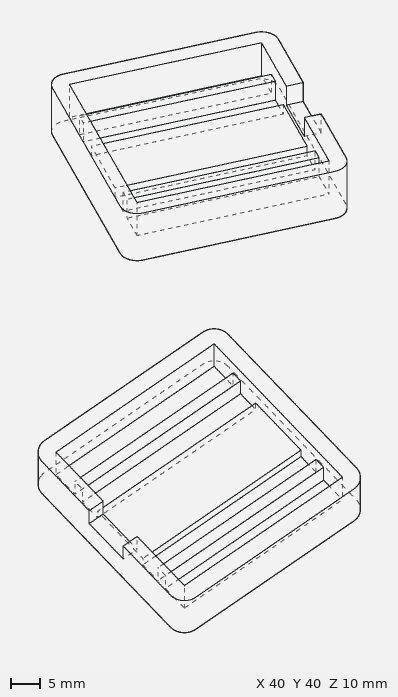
import cadquery as cq

side = 40.0
height = 10.0
wall = 3.0
corner_radius = 3.0
floor_thickness = 3.0
cavity_side = side - 2 * wall

platform_width = 12.0
platform_top = 5.0
rib_width = 2.0
rib_top = 7.0
rib_offset = 11.0

notch_width = 9.0
notch_bottom = 6.0


def tray():
    """Square tray with rounded outer corners and a sharp-cornered cavity."""
    body = cq.Workplane("XY").rect(side, side).extrude(height).edges("|Z").fillet(corner_radius)
    cavity = (
        cq.Workplane("XY")
        .workplane(offset=floor_thickness)
        .rect(cavity_side, cavity_side)
        .extrude(height - floor_thickness)
    )
    return body.cut(cavity)


def cavity_bar(x_center, width, top):
    """Bar spanning the cavity along Y, rooted at the underside of the tray."""
    return cq.Workplane("XY").center(x_center, 0).rect(width, cavity_side).extrude(top)


def wall_notch():
    """Open-topped cutter that passes through the +Y wall."""
    return (
        cq.Workplane("XY")
        .workplane(offset=notch_bottom)
        .center(0, (side - wall) / 2)
        .rect(notch_width, wall)
        .extrude(height - notch_bottom)
    )


result = tray().union(cavity_bar(0, platform_width, platform_top))
for x_center in (-rib_offset, rib_offset):
    result = result.union(cavity_bar(x_center, rib_width, rib_top))
result = result.cut(wall_notch())